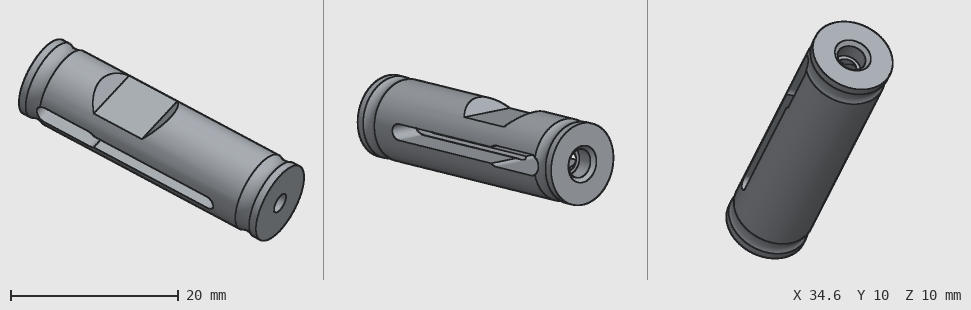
import cadquery as cq

length = 34.6
diameter = 10.0
radius = diameter / 2

groove_offset = 1.0
groove_width = 2.0
groove_depth = 0.25

slot_start = 2.5
slot_end = 28.37
wide_slot_height = 2.6
narrow_slot_height = 2.0
wide_slot_end_center = 10.05

notch_floor_start = 10.0
notch_floor_end = 17.02
notch_depth = 1.6

hole_diameter = 2.5
counterbore_diameter = 3.5
counterbore_depth = 2.5
countersink_diameter = 4.5
countersink_depth = (countersink_diameter - counterbore_diameter) / 2


def make_body():
    """Revolve the outer profile, with an arc at each groove."""
    left_start = groove_offset
    left_end = left_start + groove_width
    right_start = length - left_end
    right_end = length - left_start
    groove_floor = radius - groove_depth
    profile = (
        cq.Workplane("XY")
        .lineTo(0, radius)
        .lineTo(left_start, radius)
        .threePointArc((left_start + groove_width / 2, groove_floor), (left_end, radius))
        .lineTo(right_start, radius)
        .threePointArc((right_start + groove_width / 2, groove_floor), (right_end, radius))
        .lineTo(length, radius)
        .lineTo(length, 0)
        .close()
    )
    return profile.revolve(360, (0, 0, 0), (1, 0, 0))


def make_slot(start, end, height):
    """Round-ended slot cutter between two extreme X positions."""
    return (
        cq.Workplane("XZ")
        .center((start + end) / 2, 0)
        .slot2D(end - start, height)
        .extrude(radius, both=True)
    )


def make_notch():
    """Trapezoidal cutter spanning the full body width."""
    floor = radius - notch_depth
    return (
        cq.Workplane("XZ")
        .moveTo(notch_floor_start, floor)
        .lineTo(notch_floor_end, floor)
        .lineTo(notch_floor_end + notch_depth, radius)
        .lineTo(notch_floor_start - notch_depth, radius)
        .close()
        .extrude(radius, both=True)
    )


def make_hole():
    """Revolved cutter for the countersink, counterbore and through hole."""
    hole_radius = hole_diameter / 2
    counterbore_radius = counterbore_diameter / 2
    return (
        cq.Workplane("XY")
        .lineTo(0, countersink_diameter / 2)
        .lineTo(countersink_depth, counterbore_radius)
        .lineTo(counterbore_depth, counterbore_radius)
        .lineTo(counterbore_depth, hole_radius)
        .lineTo(length, hole_radius)
        .lineTo(length, 0)
        .close()
        .revolve(360, (0, 0, 0), (1, 0, 0))
    )


wide_slot_end = wide_slot_end_center + wide_slot_height / 2

result = (
    make_body()
    .cut(make_slot(slot_start, wide_slot_end, wide_slot_height))
    .cut(make_slot(slot_start, slot_end, narrow_slot_height))
    .cut(make_notch())
    .cut(make_hole())
)